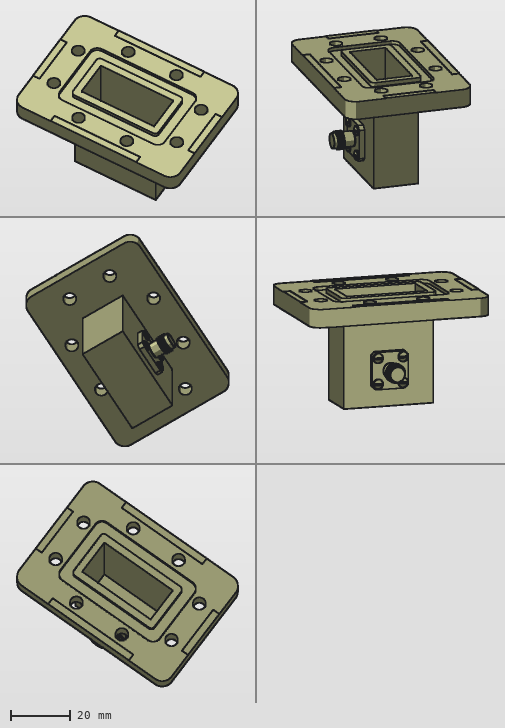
import cadquery as cq

plate_length = 63.5
plate_width = 44.45
total_height = 38.35

body_length = 31.75
body_width = 15.9
body_height = 31.75
bore_length = 28.5
bore_width = 12.65
floor_thickness = (body_length - bore_length) / 2

rim_rise = 0.25
pad_height = 0.1
plate_top = total_height - rim_rise
plate_thickness = plate_top - body_height
plate_corner_radius = 3.95
pad_depth = 2.55

rim_length = 33.6
rim_width = 17.85
rim_corner_radius = 1.35
groove_length = 41.15
groove_width = 25.3
groove_corner_radius = 2.7
groove_depth = 1.2

bolt_hole_diameter = 4.3
long_edge_hole_x = 9.45
long_edge_hole_y = 16.2
short_edge_hole_x = 24.1
short_edge_hole_y = 7.95

connector_z = 12.7
connector_start_y = body_width / 2
flange_size = 12.8
flange_thickness = 1.9
flange_chamfer = 1.35
barrel_diameter = 5.35
barrel_end_y = connector_start_y + 9.5
barrel_chamfer = 0.1
neck_diameter = 5.1
neck_length = 0.25

thread_diameter = 6.4
thread_pitch = 0.7
thread_turns = 4
thread_crest_width = 0.05
thread_root_width = 0.5
thread_overlap = 0.2
thread_start_y = connector_start_y + 5.5

screw_offset = 4.45
screw_head_diameter = 3.35
screw_head_height = 1.15
screw_dome_height = 0.65
screw_slot_width = 0.6
screw_slot_depth = 0.3


def block(length, width, bottom, top, corner_radius=0.0):
    """Centred upright block, optionally with rounded vertical edges."""
    solid = cq.Workplane("XY", origin=(0, 0, bottom)).rect(length, width).extrude(top - bottom)
    if corner_radius:
        solid = solid.edges("|Z").fillet(corner_radius)
    return solid


def connector_plane(y):
    """Workplane on the connector axis whose normal points along +Y."""
    return cq.Workplane(cq.Plane(origin=(0, y, connector_z), xDir=(1, 0, 0), normal=(0, 1, 0)))


def make_plate():
    plate = block(plate_length, plate_width, body_height, plate_top, plate_corner_radius)
    groove = block(groove_length, groove_width, plate_top - groove_depth, plate_top, groove_corner_radius)
    rim = block(rim_length, rim_width, plate_top - groove_depth, total_height, rim_corner_radius)
    return plate.cut(groove).union(rim)


def make_edge_pads():
    """Thin raised pads in the middle of the four plate edges."""
    pads = cq.Workplane("XY", origin=(0, 0, plate_top))
    pad_y = (plate_width - pad_depth) / 2
    pad_x = (plate_length - pad_depth) / 2
    long_pads = pads.pushPoints([(0, -pad_y), (0, pad_y)]).rect(rim_length, pad_depth).extrude(pad_height)
    short_pads = pads.pushPoints([(-pad_x, 0), (pad_x, 0)]).rect(pad_depth, rim_width).extrude(pad_height)
    return long_pads.union(short_pads)


def make_bolt_holes():
    bottom = cq.Workplane("XY", origin=(0, 0, body_height))
    long_edge = bottom.rect(2 * long_edge_hole_x, 2 * long_edge_hole_y, forConstruction=True).vertices()
    holes = long_edge.circle(bolt_hole_diameter / 2).extrude(plate_thickness)
    short_edge = bottom.rect(2 * short_edge_hole_x, 2 * short_edge_hole_y, forConstruction=True).vertices()
    return holes.union(short_edge.circle(bolt_hole_diameter / 2).extrude(plate_thickness))


def make_thread():
    """Helical ridge whose root is sunk slightly into the barrel."""
    root_radius = barrel_diameter / 2 - thread_overlap
    crest_radius = thread_diameter / 2
    helix = cq.Wire.makeHelix(thread_pitch, thread_turns * thread_pitch, root_radius)
    ridge = (
        cq.Workplane("XZ")
        .polyline([
            (root_radius, -thread_root_width / 2),
            (crest_radius, -thread_crest_width / 2),
            (crest_radius, thread_crest_width / 2),
            (root_radius, thread_root_width / 2),
        ])
        .close()
        .sweep(cq.Workplane(obj=helix), isFrenet=True)
    )
    return ridge.rotate((0, 0, 0), (1, 0, 0), -90).translate((0, thread_start_y, connector_z))


def make_screw_head():
    """Domed screw head with a straight slot along X, seated on the flange."""
    seat_y = connector_start_y + flange_thickness
    rim_y = seat_y + screw_head_height - screw_dome_height
    top_y = seat_y + screw_head_height
    radius = screw_head_diameter / 2
    dome_radius = (radius**2 + screw_dome_height**2) / (2 * screw_dome_height)
    mid_x = radius / 2
    mid_y = top_y - dome_radius + (dome_radius**2 - mid_x**2) ** 0.5
    head = (
        cq.Workplane("XY")
        .moveTo(0, seat_y)
        .lineTo(radius, seat_y)
        .lineTo(radius, rim_y)
        .threePointArc((mid_x, mid_y), (0, top_y))
        .close()
        .revolve(360, (0, 0, 0), (0, 1, 0))
    )
    slot = cq.Workplane("XY").box(screw_head_diameter, 2 * screw_slot_depth, screw_slot_width)
    return head.cut(slot.translate((0, top_y, 0)))


def make_connector():
    flange = connector_plane(connector_start_y).rect(flange_size, flange_size).extrude(flange_thickness)
    flange = flange.edges("|Y").chamfer(flange_chamfer)
    neck_y = connector_start_y + flange_thickness
    barrel_y = neck_y + neck_length
    neck = connector_plane(neck_y).circle(neck_diameter / 2).extrude(neck_length)
    barrel = connector_plane(barrel_y).circle(barrel_diameter / 2).extrude(barrel_end_y - barrel_y)
    barrel = barrel.faces(">Y").chamfer(barrel_chamfer)
    connector = flange.union(neck).union(barrel).union(make_thread())
    head = make_screw_head()
    for x in (-screw_offset, screw_offset):
        for z in (-screw_offset, screw_offset):
            connector = connector.union(head.translate((x, 0, connector_z + z)))
    return connector


body = block(body_length, body_width, 0, body_height)
bore = block(bore_length, bore_width, floor_thickness, total_height)

result = (
    body.union(make_plate())
    .union(make_edge_pads())
    .cut(make_bolt_holes())
    .cut(bore)
    .union(make_connector())
)